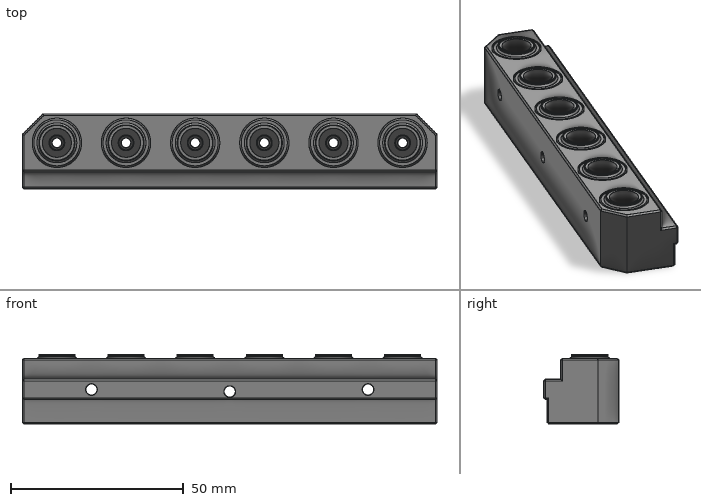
import cadquery as cq
import math

LENGTH = 120.0
DEPTH = 21.7
HEIGHT = 20.0
BOSS_HEIGHT = 1.1
BLOCK_TOP = HEIGHT - BOSS_HEIGHT
CORNER_CUT = 6.0
EDGE_CHAMFER = 0.5
TOLERANCE = 0.01

SHELF_Z = 13.0
SHELF_DEPTH = 4.9
LIP_BOTTOM_Z = 7.1
LIP_OVERHANG = 1.0

SOCKET_COUNT = 6
SOCKET_PITCH = LENGTH / SOCKET_COUNT
SOCKET_Y = 13.3
FLANGE_DIAMETER = 14.3
GROOVE_WIDTH = 0.5
BOSS_RIM_DIAMETER = 10.5
BOSS_BASE_DIAMETER = 11.5
BOSS_RIM_HEIGHT = 0.54
BOSS_ROOT = 1.2
RECESS_DIAMETER = 10.1
RECESS_DEPTH = 0.4
BORE_DIAMETER = 8.4
BORE_FLOOR_Z = 4.8
NECK_DIAMETER = 4.1
NECK_MOUTH_DIAMETER = 4.5
NECK_CHAMFER = 0.2
NECK_FLOOR_Z = 2.4
OUTLET_DIAMETER = 2.8

CROSS_HOLE_DIAMETER = 3.2
SIDE_HOLE_X = 2 * SOCKET_PITCH
SIDE_HOLE_Z = 10.0
MIDDLE_HOLE_Z = 9.4


def is_chamfered(edge):
    """True for each edge of the bar except its inside corners and back uprights."""
    middle = edge.Center()
    along_bar = abs(middle.x) < TOLERANCE
    in_shelf_corner = along_bar and math.hypot(middle.y - SHELF_DEPTH, middle.z - SHELF_Z) < TOLERANCE
    in_lip_corner = along_bar and math.hypot(middle.y - LIP_OVERHANG, middle.z - LIP_BOTTOM_Z) < TOLERANCE
    back_upright = (
        middle.y > DEPTH - CORNER_CUT - TOLERANCE
        and abs(middle.z - BLOCK_TOP / 2) < TOLERANCE
    )
    return not (in_shelf_corner or in_lip_corner or back_upright)


def make_block():
    """Stepped bar with both back corners cut off and its outer edges chamfered."""
    profile = [
        (LIP_OVERHANG, 0),
        (DEPTH, 0),
        (DEPTH, BLOCK_TOP),
        (SHELF_DEPTH, BLOCK_TOP),
        (SHELF_DEPTH, SHELF_Z),
        (0, SHELF_Z),
        (0, LIP_BOTTOM_Z),
        (LIP_OVERHANG, LIP_BOTTOM_Z),
    ]
    bar = cq.Workplane("YZ").polyline(profile).close().extrude(LENGTH / 2, both=True)
    bar = bar.edges("|Z and >Y").chamfer(CORNER_CUT)

    return bar.edges().filter(is_chamfered).chamfer(EDGE_CHAMFER)


def revolve_profile(points):
    """Solid of revolution about Z from (radius, height) points."""
    return cq.Workplane("XZ").polyline(points).close().revolve(360, (0, 0), (0, 1))


def make_boss():
    """Collar standing on the flange: upright rim above a tapered base."""
    return revolve_profile([
        (0, BLOCK_TOP - BOSS_ROOT),
        (BOSS_BASE_DIAMETER / 2, BLOCK_TOP - BOSS_ROOT),
        (BOSS_BASE_DIAMETER / 2, BLOCK_TOP),
        (BOSS_RIM_DIAMETER / 2, HEIGHT - BOSS_RIM_HEIGHT),
        (BOSS_RIM_DIAMETER / 2, HEIGHT),
        (0, HEIGHT),
    ])


def make_groove():
    """Groove round the flush flange: upright outer wall, sloped inner wall."""
    outer_radius = FLANGE_DIAMETER / 2
    return revolve_profile([
        (outer_radius - GROOVE_WIDTH, BLOCK_TOP),
        (outer_radius, BLOCK_TOP),
        (outer_radius, BLOCK_TOP - GROOVE_WIDTH),
    ])


def make_bore():
    """Stepped passage from the top of the boss through the underside."""
    return revolve_profile([
        (0, 0),
        (OUTLET_DIAMETER / 2, 0),
        (OUTLET_DIAMETER / 2, NECK_FLOOR_Z),
        (NECK_DIAMETER / 2, NECK_FLOOR_Z),
        (NECK_DIAMETER / 2, BORE_FLOOR_Z - NECK_CHAMFER),
        (NECK_MOUTH_DIAMETER / 2, BORE_FLOOR_Z),
        (BORE_DIAMETER / 2, BORE_FLOOR_Z),
        (BORE_DIAMETER / 2, HEIGHT - RECESS_DEPTH),
        (RECESS_DIAMETER / 2, HEIGHT - RECESS_DEPTH),
        (RECESS_DIAMETER / 2, HEIGHT),
        (0, HEIGHT),
    ])


def make_cross_hole(x, z):
    """Cutter running through the full depth of the bar."""
    hole = cq.Workplane("XZ").circle(CROSS_HOLE_DIAMETER / 2).extrude(-DEPTH)
    return hole.translate((x, 0, z))


result = make_block()

boss = make_boss()
groove = make_groove()
bore = make_bore()
for index in range(SOCKET_COUNT):
    socket_x = (index - (SOCKET_COUNT - 1) / 2) * SOCKET_PITCH
    place = (socket_x, SOCKET_Y, 0)
    result = result.union(boss.translate(place))
    result = result.cut(groove.translate(place))
    result = result.cut(bore.translate(place))

cross_holes = [
    (-SIDE_HOLE_X, SIDE_HOLE_Z),
    (0, MIDDLE_HOLE_Z),
    (SIDE_HOLE_X, SIDE_HOLE_Z),
]
for hole_x, hole_z in cross_holes:
    result = result.cut(make_cross_hole(hole_x, hole_z))